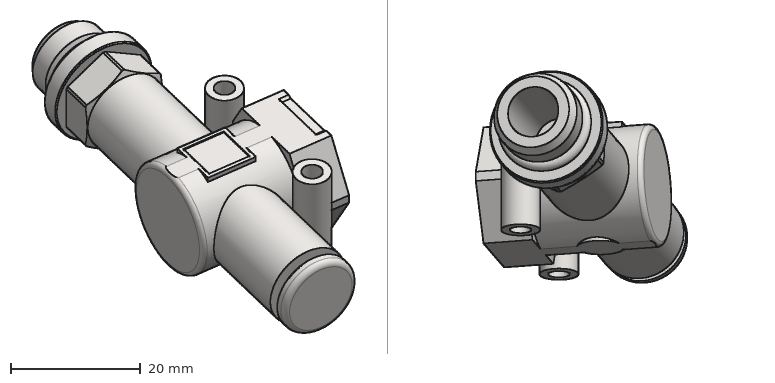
import cadquery as cq
import math

TOTAL_LENGTH = 70.8

THREAD_DIA = 13.2
THREAD_TIP_DIA = 11.4
THREAD_TIP_LENGTH = 1.4
THREAD_END_X = 4.95
NECK_DIA = 11.1
NECK_START_X = 5.5
FLANGE_START_X = 8.1
FLANGE_END_X = 11.3
FLANGE_DIA = 18.0
FLANGE_CHAMFER = 0.2
HEX_END_X = 17.05
HEX_ACROSS_FLATS = 14.0
HEX_CORNER_DIA = 15.9
HEX_CHAMFER_LENGTH = 0.5
BORE_DIA = 8.0

SEAL_OUTER_DIA = 14.7
SEAL_RADIUS = (SEAL_OUTER_DIA - NECK_DIA) / 4

TUBE_DIA = 13.8
TUBE_END_X = 67.2
BARREL_X = 42.2
BARREL_DIA = 19.0
HOUSING_DEPTH = 26.0
BARREL_FRONT_Y = -9.05
BARREL_EDGE_RADIUS = 0.85

HEAD_HEIGHT = 18.7
HEAD_START_Y = 9.1
HEAD_END_Y = BARREL_FRONT_Y + HOUSING_DEPTH
HEAD_WIDTH = 22.9
HEAD_TOP_WIDTH = 13.1
HEAD_SIDE_FLAT = 1.5
NOTCH_WIDTH = 10.35
NOTCH_LENGTH = 1.85
NOTCH_DEPTH = 0.35
NOTCH_SIDE_RUN = 0.6

FRAME_SIZE_X = 8.5
FRAME_SIZE_Y = 8.9
FRAME_BORDER = 0.7
LABEL_DEPTH = 0.2
BOSS_DIA = 7.35

EYE_DIA = 6.0
EYE_HOLE_DIA = 3.3
EYE_SPACING = 24.1
EYE_Y = 9.6

STEM_DIA = 9.2
RING_DIA = 13.6
RING_START_X = 68.9
RING_EDGE_RADIUS = 1.0


def rod_x(diameter, start_x, end_x):
    """Cylinder on the X axis."""
    return cq.Workplane("YZ").workplane(offset=start_x).circle(diameter / 2).extrude(end_x - start_x)


def block(center, size):
    """Axis-aligned box given by its center and size."""
    return cq.Workplane("XY").box(*size).translate(center)


def revolve_about_x(profile):
    """Solid of revolution about the X axis from a profile in the XY plane."""
    return profile.close().revolve(360, (0, 0, 0), (1, 0, 0))


def make_male_fitting():
    thread = revolve_about_x(
        cq.Workplane("XY")
        .moveTo(0, 0)
        .lineTo(0, THREAD_TIP_DIA / 2)
        .lineTo(THREAD_TIP_LENGTH, THREAD_DIA / 2)
        .lineTo(THREAD_END_X, THREAD_DIA / 2)
        .lineTo(NECK_START_X, NECK_DIA / 2)
        .lineTo(FLANGE_START_X, NECK_DIA / 2)
        .lineTo(FLANGE_START_X, 0)
    )
    flange = rod_x(FLANGE_DIA, FLANGE_START_X, FLANGE_END_X).edges().chamfer(FLANGE_CHAMFER)

    hexagon = (
        cq.Workplane("YZ")
        .workplane(offset=FLANGE_END_X)
        .polygon(6, HEX_ACROSS_FLATS / math.cos(math.radians(30)))
        .extrude(HEX_END_X - FLANGE_END_X)
        .rotate((0, 0, 0), (1, 0, 0), 90)
    )
    turned_envelope = revolve_about_x(
        cq.Workplane("XY")
        .moveTo(FLANGE_END_X, 0)
        .lineTo(FLANGE_END_X, HEX_CORNER_DIA / 2)
        .lineTo(HEX_END_X - HEX_CHAMFER_LENGTH, HEX_CORNER_DIA / 2)
        .lineTo(HEX_END_X, TUBE_DIA / 2)
        .lineTo(HEX_END_X, 0)
    )
    bore = rod_x(BORE_DIA, 0, HEX_END_X)
    return thread.union(flange).union(hexagon.intersect(turned_envelope)).cut(bore)


def make_seal_ring():
    ring_radius = NECK_DIA / 2 + SEAL_RADIUS
    return (
        cq.Workplane("XY", origin=(FLANGE_START_X - SEAL_RADIUS, ring_radius, 0))
        .circle(SEAL_RADIUS)
        .revolve(360, (0, -ring_radius, 0), (1, -ring_radius, 0))
    )


def make_barrel():
    """Barrel with a rounded front edge, cut flat on top and bottom level with the head."""
    length = HEAD_START_Y - BARREL_FRONT_Y
    barrel = (
        cq.Workplane("XZ", origin=(BARREL_X, BARREL_FRONT_Y, 0))
        .circle(BARREL_DIA / 2)
        .extrude(-length)
        .faces("<Y")
        .edges()
        .fillet(BARREL_EDGE_RADIUS)
    )
    flat_envelope = block(
        (BARREL_X, BARREL_FRONT_Y + length / 2, 0),
        (BARREL_DIA, length, HEAD_HEIGHT),
    )
    return barrel.intersect(flat_envelope)


def make_head():
    half_top = HEAD_TOP_WIDTH / 2
    half_width = HEAD_WIDTH / 2
    half_height = HEAD_HEIGHT / 2
    half_flat = HEAD_SIDE_FLAT / 2
    head = (
        cq.Workplane("XZ", origin=(BARREL_X, HEAD_START_Y, 0))
        .polyline([
            (half_top, half_height),
            (half_width, half_flat),
            (half_width, -half_flat),
            (half_top, -half_height),
            (-half_top, -half_height),
            (-half_width, -half_flat),
            (-half_width, half_flat),
            (-half_top, half_height),
        ])
        .close()
        .extrude(HEAD_START_Y - HEAD_END_Y)
    )
    notch = (
        cq.Workplane("XZ", origin=(BARREL_X, HEAD_END_Y, half_height))
        .polyline([
            (-NOTCH_WIDTH / 2, 0),
            (NOTCH_WIDTH / 2, 0),
            (NOTCH_WIDTH / 2 - NOTCH_SIDE_RUN, -NOTCH_DEPTH),
            (-NOTCH_WIDTH / 2 + NOTCH_SIDE_RUN, -NOTCH_DEPTH),
        ])
        .close()
        .extrude(NOTCH_LENGTH)
    )
    return head.cut(notch)


def make_label_frame():
    return block((BARREL_X, 0, HEAD_HEIGHT / 4), (FRAME_SIZE_X, FRAME_SIZE_Y, HEAD_HEIGHT / 2))


def make_bottom_boss():
    return cq.Workplane("XY").center(BARREL_X, 0).circle(BOSS_DIA / 2).extrude(-HEAD_HEIGHT / 2)


def make_label_recess():
    return block(
        (BARREL_X, 0, HEAD_HEIGHT / 2 - LABEL_DEPTH / 2),
        (FRAME_SIZE_X - 2 * FRAME_BORDER, FRAME_SIZE_Y - 2 * FRAME_BORDER, LABEL_DEPTH),
    )


def upright_rods(diameter):
    """Vertical cylinders at both mounting eyes."""
    return (
        cq.Workplane("XY", origin=(BARREL_X, EYE_Y, -HEAD_HEIGHT / 2))
        .pushPoints([(side * EYE_SPACING / 2, 0) for side in (-1, 1)])
        .circle(diameter / 2)
        .extrude(HEAD_HEIGHT)
    )


def make_housing():
    tube = rod_x(TUBE_DIA, HEX_END_X, TUBE_END_X)
    return (
        tube.union(make_barrel())
        .union(make_head())
        .union(make_label_frame())
        .union(make_bottom_boss())
        .union(upright_rods(EYE_DIA))
        .cut(make_label_recess())
        .cut(upright_rods(EYE_HOLE_DIA))
    )


def make_release_ring():
    stem = rod_x(STEM_DIA, TUBE_END_X, RING_START_X)
    ring = rod_x(RING_DIA, RING_START_X, TOTAL_LENGTH).faces(">X").edges().fillet(RING_EDGE_RADIUS)
    return stem.union(ring)


male_fitting = make_male_fitting()
seal_ring = make_seal_ring()
housing = make_housing()
release_ring = make_release_ring()

result = cq.Compound.makeCompound([
    male_fitting.val(),
    seal_ring.val(),
    housing.val(),
    release_ring.val(),
])